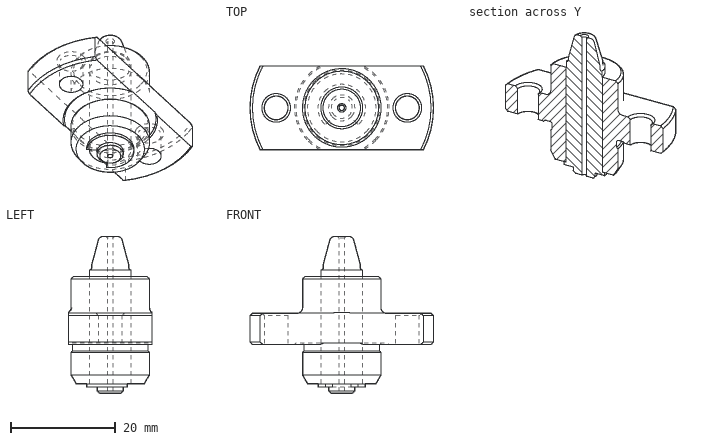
import cadquery as cq
import math

plate_length = 35.0
plate_width = 16.0
plate_height = 6.0
edge_chamfer = 0.5
plate_radius = plate_length / 2

hole_spacing = 25.0
hole_radius = 2.25

body_radius = 7.5
body_top = 13.0
body_bottom = -7.5
root_fillet = 1.0
bottom_radius = 6.5
bottom_taper_height = 1.68

undercut_length = 1.5
undercut_depth = 0.28
undercut_fillet = 0.42

shank_radius = 4.0
shank_top = 14.25
cone_base_radius = 3.57
cone_base_height = 0.63
collar_fillet = 0.3
tip_top = 20.6
tip_face_radius = 1.33
tip_round = 1.0
taper_angle = math.radians(15)

key_radius = 4.5
key_height = 0.63
notch_angle = 88.0
spigot_radius = 2.5
spigot_bottom = -9.3

bore_radius = 0.5
bore_mouth_radius = 0.8


def make_plate():
    blank = cq.Workplane("XY").circle(plate_radius).extrude(plate_height).edges().chamfer(edge_chamfer)
    flats = cq.Workplane("XY").rect(plate_length, plate_width).extrude(plate_height)
    return blank.intersect(flats)


def make_body():
    """Turned body with its root fillet, cut to the width of the plate."""
    fillet_top = plate_height + root_fillet
    fillet_middle = root_fillet * (1 - math.sqrt(0.5))
    profile = (
        cq.Workplane("XZ")
        .moveTo(0, body_bottom)
        .lineTo(bottom_radius, body_bottom)
        .lineTo(body_radius, body_bottom + bottom_taper_height)
        .lineTo(body_radius, 0)
        .lineTo(body_radius + root_fillet, 0)
        .lineTo(body_radius + root_fillet, plate_height)
        .threePointArc(
            (body_radius + fillet_middle, plate_height + fillet_middle),
            (body_radius, fillet_top),
        )
        .lineTo(body_radius, body_top - edge_chamfer)
        .lineTo(body_radius - edge_chamfer, body_top)
        .lineTo(0, body_top)
        .close()
    )
    width_limit = (
        cq.Workplane("XY", origin=(0, 0, body_bottom))
        .rect(plate_length, plate_width)
        .extrude(body_top - body_bottom)
    )
    return profile.revolve().intersect(width_limit)


def make_undercut():
    """Ring of relief, equally long and deep on the body and on the plate underside."""
    neck_radius = body_radius - undercut_depth
    fillet_middle = undercut_fillet * (1 - math.sqrt(0.5))
    return (
        cq.Workplane("XZ")
        .moveTo(body_radius, -undercut_length)
        .lineTo(neck_radius, -undercut_length + undercut_depth)
        .lineTo(neck_radius, undercut_depth - undercut_fillet)
        .threePointArc(
            (neck_radius + fillet_middle, undercut_depth - fillet_middle),
            (neck_radius + undercut_fillet, undercut_depth),
        )
        .lineTo(body_radius + undercut_length - undercut_depth, undercut_depth)
        .lineTo(body_radius + undercut_length, 0)
        .lineTo(body_radius, 0)
        .close()
        .revolve()
    )


def make_mounting_hole(x):
    """Cutter for a through hole with a chamfered upper rim."""
    mouth_radius = hole_radius + edge_chamfer
    return (
        cq.Workplane("XZ")
        .polyline([
            (0, 0),
            (hole_radius, 0),
            (hole_radius, plate_height - edge_chamfer),
            (mouth_radius, plate_height),
            (0, plate_height),
        ])
        .close()
        .revolve()
        .translate((x, 0, 0))
    )


def make_housing():
    shank_bore = (
        cq.Workplane("XY", origin=(0, 0, body_bottom))
        .circle(shank_radius)
        .extrude(body_top - body_bottom)
    )
    housing_solid = make_plate().union(make_body()).cut(make_undercut()).cut(shank_bore)
    for x in (-hole_spacing / 2, hole_spacing / 2):
        housing_solid = housing_solid.cut(make_mounting_hole(x))
    return housing_solid


def make_turned_insert():
    """Tapered nozzle tip, shank, keyed flange and spigot turned on one axis."""
    cone_foot = shank_top + collar_fillet
    cone_base = cone_foot + cone_base_height
    key_bottom = body_bottom - key_height
    collar_middle = collar_fillet * (1 - math.sqrt(0.5))
    round_centre = tip_top - tip_round
    middle_angle = (taper_angle + math.pi / 2) / 2
    round_end, round_middle = [
        (tip_face_radius + tip_round * math.cos(angle), round_centre + tip_round * math.sin(angle))
        for angle in (taper_angle, middle_angle)
    ]
    return (
        cq.Workplane("XZ")
        .moveTo(0, spigot_bottom)
        .lineTo(spigot_radius - edge_chamfer, spigot_bottom)
        .lineTo(spigot_radius, spigot_bottom + edge_chamfer)
        .lineTo(spigot_radius, key_bottom)
        .lineTo(key_radius, key_bottom)
        .lineTo(key_radius, body_bottom)
        .lineTo(shank_radius, body_bottom)
        .lineTo(shank_radius, shank_top)
        .lineTo(cone_base_radius + collar_fillet, shank_top)
        .threePointArc(
            (cone_base_radius + collar_middle, shank_top + collar_middle),
            (cone_base_radius, cone_foot),
        )
        .lineTo(cone_base_radius, cone_base)
        .lineTo(*round_end)
        .threePointArc(round_middle, (tip_face_radius, tip_top))
        .lineTo(0, tip_top)
        .close()
        .revolve()
    )


def make_key_notch():
    """Sector of the keyed flange removed on the -Y side, down to the spigot radius."""
    half_angle = math.radians(notch_angle / 2)
    reach = 2 * key_radius
    corner_x = reach * math.sin(half_angle)
    corner_y = -reach * math.cos(half_angle)
    key_bottom = cq.Workplane("XY", origin=(0, 0, body_bottom - key_height))
    corners = [(0, 0), (-corner_x, corner_y), (corner_x, corner_y)]
    sector = key_bottom.polyline(corners).close().extrude(key_height)
    hub = key_bottom.circle(spigot_radius).extrude(key_height)
    return sector.cut(hub)


def make_bore():
    """Through bore with a 45 degree countersink at the tip."""
    mouth_depth = bore_mouth_radius - bore_radius
    return (
        cq.Workplane("XZ")
        .polyline([
            (0, spigot_bottom),
            (bore_radius, spigot_bottom),
            (bore_radius, tip_top - mouth_depth),
            (bore_mouth_radius, tip_top),
            (0, tip_top),
        ])
        .close()
        .revolve()
    )


def make_insert():
    return make_turned_insert().cut(make_key_notch()).cut(make_bore())


housing = make_housing()
insert = make_insert()
result = cq.Compound.makeCompound([housing.solids().val(), insert.solids().val()])